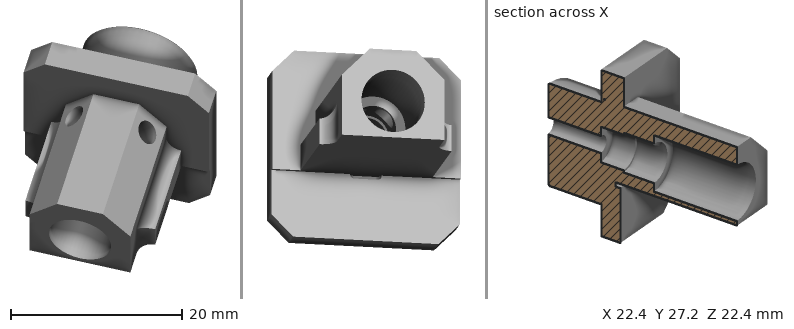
import cadquery as cq
import math

flange_size = 22.4
flange_thickness = 3.32
flange_corner_chamfer = 2.55
step_depth = 0.52

spigot_diameter = 13.85
spigot_length = 7.6
spigot_chamfer = 0.25

total_length = 27.18
nose_length = total_length - flange_thickness - spigot_length
nose_half_width = 6.1
nose_top = 7.35
nose_bottom = -3.25
nose_chamfer = 3.32

rib_half_width = 7.85
rib_top = -0.14
rib_length = 11.65
cove_rise = 1.6
cove_run = rib_half_width - nose_half_width
cove_radius = (cove_run**2 + cove_rise**2) / (2 * cove_rise)

bore_height = 1.15
main_bore_diameter = 7.53
seat_diameter = 5.27
inner_bore_diameter = 4.73
through_diameter = 2.25
main_bore_end = -4.35
seat_end = 0.0
inner_bore_end = flange_thickness

cross_hole_diameter = 2.85
cross_hole_distance = 2.5

pocket_width = 3.75
pocket_height = 0.52
pocket_depth = 0.68
pocket_bottom_radius = 0.5
pocket_back_radius = 0.63


def box(x_min, x_max, y_min, y_max, z_min, z_max):
    size = (x_max - x_min, y_max - y_min, z_max - z_min)
    return cq.Workplane("XY").box(*size, centered=False).translate((x_min, y_min, z_min))


def cylinder_along_y(diameter, y_start, y_end, height):
    """Cylinder parallel to Y, its axis at X = 0 and the given Z height."""
    base = cq.Workplane("XZ", origin=(0, y_start, height))
    return base.circle(diameter / 2).extrude(y_start - y_end)


def make_flange():
    half = flange_size / 2
    plate = box(-half, half, 0, flange_thickness, -half, half)
    plate = plate.edges("|Y").chamfer(flange_corner_chamfer)
    relief = box(-half, half, 0, step_depth, -half, nose_bottom)
    return plate.cut(relief)


def make_spigot():
    end = flange_thickness + spigot_length
    spigot = cylinder_along_y(spigot_diameter, flange_thickness, end, 0)
    return spigot.faces(">Y").chamfer(spigot_chamfer)


def make_nose():
    nose = box(-nose_half_width, nose_half_width, -nose_length, step_depth, nose_bottom, nose_top)
    return nose.edges("|Y and >Z").chamfer(nose_chamfer)


def make_rib():
    """Rib on the +X side whose coves run along its top and its front end."""
    cove_end = -rib_length - cove_radius
    rib = box(nose_half_width, rib_half_width, cove_end, step_depth,
              nose_bottom, rib_top + cove_radius)
    top_cove = cylinder_along_y(2 * cove_radius, cove_end, step_depth, rib_top + cove_radius)
    top_cove = top_cove.translate((rib_half_width, 0, 0))
    front_cove = (
        cq.Workplane("XY", origin=(rib_half_width, cove_end, nose_bottom))
        .circle(cove_radius)
        .extrude(rib_top + cove_radius - nose_bottom)
    )
    return rib.cut(top_cove).cut(front_cove)


def make_stepped_bore():
    bore = cylinder_along_y(main_bore_diameter, -nose_length, main_bore_end, bore_height)
    bore = bore.union(cylinder_along_y(seat_diameter, main_bore_end, seat_end, bore_height))
    bore = bore.union(cylinder_along_y(inner_bore_diameter, seat_end, inner_bore_end, bore_height))
    spigot_end = flange_thickness + spigot_length
    return bore.union(cylinder_along_y(through_diameter, inner_bore_end, spigot_end, bore_height))


def make_cross_hole(side):
    """Hole square to the middle of a sloping nose face, ending at X = 0."""
    x = nose_half_width - nose_chamfer / 2
    z = nose_top - nose_chamfer / 2
    start = cq.Vector(side * x, -cross_hole_distance, z)
    inward = cq.Vector(-side, 0, -1)
    return cq.Workplane(cq.Solid.makeCylinder(cross_hole_diameter / 2, x * math.sqrt(2), start, inward))


def make_pocket():
    """Shallow pocket in the relieved flange face, directly under the nose."""
    half = pocket_width / 2
    y_end = step_depth + pocket_depth
    bottom = nose_bottom - pocket_height
    front_shape = box(-half, half, step_depth, y_end, bottom, nose_bottom)
    plan_shape = front_shape.edges("|Z and >Y").fillet(pocket_back_radius)
    front_shape = front_shape.edges("|Y and <Z").fillet(pocket_bottom_radius)
    return front_shape.intersect(plan_shape)


rib = make_rib()
result = make_flange().union(make_spigot()).union(make_nose())
result = result.union(rib).union(rib.mirror("YZ"))
result = result.cut(make_stepped_bore())
for side in (-1, 1):
    result = result.cut(make_cross_hole(side))
result = result.cut(make_pocket())